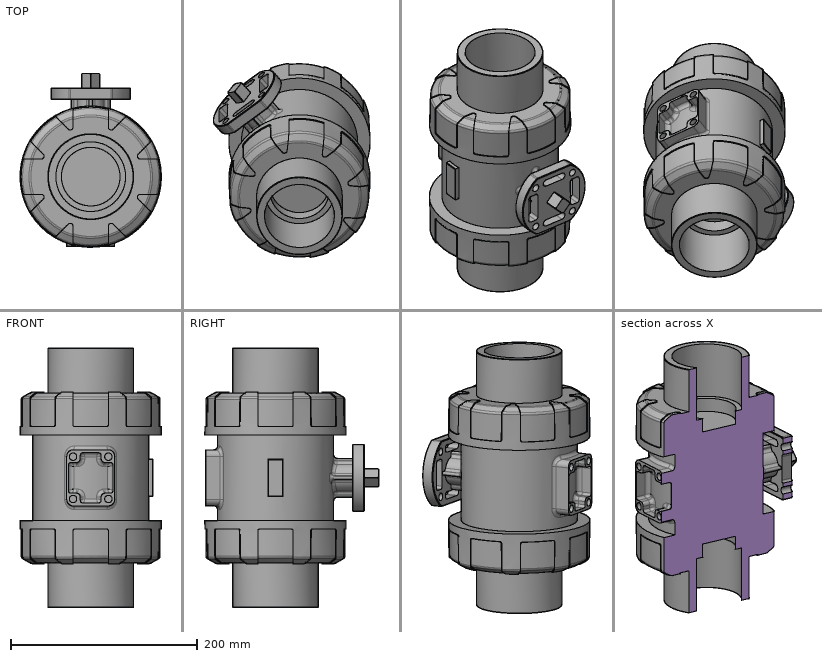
import cadquery as cq
import math

MARGIN = 1

BODY_RADIUS = 125 / 2
PIPE_RADIUS = 92.2 / 2
OVERALL_HEIGHT = 279
PIPE_END_Z = OVERALL_HEIGHT / 2
PIPE_CHAMFER = 0.6
SOCKET_RADIUS = 75 / 2
SOCKET_DEPTH = 60
PORT_RADIUS = 63 / 2
PORT_DEPTH = 15

NUT_RADIUS = 152 / 2
NUT_BOTTOM_Z = 46
NUT_TOP_Z = 92.3
NUT_TAPER = 0.4
NUT_CHAMFER_WIDTH = 9.3
NUT_CHAMFER_HEIGHT = 5.5
NUT_SHOULDER_BLEND = 3
NUT_TOP_BLEND = 4
PANEL_COUNT = 8
PANEL_WIDTH = 38
PANEL_BOTTOM_Z = 55
PANEL_RADIUS = NUT_RADIUS - 1.3
PANEL_TOP_DROP = 0.9
PANEL_CORNER = 2
RIB_TIP_RADIUS = 3

PAD_WIDTH = 51.5
PAD_HEIGHT = 60.3
PAD_FACE_Y = -75
PAD_CORNER = 7
PAD_ROOT_FILLET = 4
POCKET_WIDTH = 48
POCKET_HEIGHT = 54
POST_GAP_X = 22.5
POST_GAP_Z = 33
POST_ROUND = 4
POCKET_CORNER = 3
POCKET_FLOOR_FILLET = 4.5
PAD_HOLE_DIAMETER = 8
PAD_HOLE_DEPTH = 12
PAD_HOLE_SPACING_X = 38
PAD_HOLE_SPACING_Z = 45.4

NECK_DIAMETER = 30
NECK_RIB_SPAN = 42
NECK_RIB_WIDTH = 4
NECK_RIB_FILLET = 4
NECK_ROOT_FILLET = 4
FLANGE_DIAMETER = 85
FLANGE_HEIGHT = 72
FLANGE_CORNER = 3
FLANGE_BACK_Y = 82.7
FLANGE_FRONT_Y = 95.5
FLANGE_EDGE_CHAMFER = 0.8
BOLT_CIRCLE = 70
BOLT_HOLE_DIAMETER = 8
SIDE_WINDOW_WIDTH = 12
SIDE_WINDOW_HEIGHT = 33
SIDE_WINDOW_X = 28
SIDE_WINDOW_CORNER = 3
SLOT_WIDTH = 8
SLOT_LENGTH = 29
SLOT_Z = 25.7
STEM_SIDE = 14.4
STEM_DIAGONAL = 19.6
OVERALL_DEPTH = 187
STEM_END_Y = OVERALL_DEPTH - NUT_RADIUS
STEM_CHAMFER = 1

PLATE_FACE_X = 67
PLATE_HEIGHT = 40
PLATE_WIDTH = 16
PLATE_CHAMFER = 0.6


def plane_y(y):
    """Sketch plane at position y, with local x along X and local y along Z; extrudes toward -Y."""
    return cq.Workplane("XZ", origin=(0, y, 0))


def edge_at_height(z):
    """Selector for the nut edges that lie at height z."""
    reach = NUT_RADIUS + MARGIN
    return cq.selectors.BoxSelector((-reach, -reach, z - MARGIN), (reach, reach, z + MARGIN), boundingbox=True)


def revolved_nut(bottom_radius, top_radius, top_z):
    """Solid nut envelope: tapered side, blended shoulder and flat top."""
    shoulder_z = top_z - NUT_CHAMFER_HEIGHT
    nut = (
        cq.Workplane("XZ")
        .moveTo(0, NUT_BOTTOM_Z)
        .lineTo(bottom_radius, NUT_BOTTOM_Z)
        .lineTo(top_radius, shoulder_z)
        .lineTo(top_radius - NUT_CHAMFER_WIDTH, top_z)
        .lineTo(0, top_z)
        .close()
        .revolve(360, (0, 0, 0), (0, 1, 0))
    )
    nut = nut.edges(edge_at_height(shoulder_z)).fillet(NUT_SHOULDER_BLEND)
    return nut.edges(edge_at_height(top_z)).fillet(NUT_TOP_BLEND)


def make_panel_cutter():
    """Star of crossing bars that clears the panels and leaves wedge-shaped ribs."""
    height = NUT_TOP_Z - PANEL_BOTTOM_Z + MARGIN
    bar = (
        cq.Workplane("XY", origin=(0, 0, PANEL_BOTTOM_Z))
        .box(3 * NUT_RADIUS, PANEL_WIDTH, height, centered=(True, True, False))
        .edges("|X and <Z")
        .fillet(PANEL_CORNER)
    )
    pitch = 360 / PANEL_COUNT
    star = bar
    for i in range(1, PANEL_COUNT // 2):
        star = star.union(bar.rotate((0, 0, 0), (0, 0, 1), i * pitch))
    tip_distance = PANEL_WIDTH / 2 / math.sin(math.radians(pitch / 2))
    reach = tip_distance + MARGIN
    tips = cq.selectors.BoxSelector((-reach, -reach, 0), (reach, reach, NUT_TOP_Z + 2 * MARGIN), boundingbox=True)
    return star.edges("|Z").edges(tips).fillet(RIB_TIP_RADIUS)


def make_nut():
    ribs = revolved_nut(NUT_RADIUS, NUT_RADIUS - NUT_TAPER, NUT_TOP_Z).cut(make_panel_cutter())
    core = revolved_nut(PANEL_RADIUS, PANEL_RADIUS, NUT_TOP_Z - PANEL_TOP_DROP)
    return ribs.union(core)


def make_pipe_end():
    return (
        cq.Workplane("XY")
        .circle(PIPE_RADIUS)
        .extrude(PIPE_END_Z)
        .faces(">Z")
        .chamfer(PIPE_CHAMFER)
    )


def make_bore():
    """Stepped socket and port of the upper pipe end, closed at the bottom."""
    socket = cq.Workplane("XY", origin=(0, 0, PIPE_END_Z)).circle(SOCKET_RADIUS).extrude(-SOCKET_DEPTH)
    port = cq.Workplane("XY", origin=(0, 0, PIPE_END_Z)).circle(PORT_RADIUS).extrude(-SOCKET_DEPTH - PORT_DEPTH)
    return socket.union(port)


def make_body():
    return cq.Workplane("XY").circle(BODY_RADIUS).extrude(NUT_BOTTOM_Z, both=True)


def root_edges(part, x_half, z_half, y_min, y_max):
    """Edges, near the body surface, of the foot of a boss or the floor of a pocket."""
    box = cq.selectors.BoxSelector((-x_half, y_min, -z_half), (x_half, y_max, z_half), boundingbox=True)
    return part.edges(box)


def add_pad(body):
    pad = plane_y(0).rect(PAD_WIDTH, PAD_HEIGHT).extrude(-PAD_FACE_Y).edges("|Y").fillet(PAD_CORNER)
    part = body.union(pad)
    half_width = PAD_WIDTH / 2 + MARGIN
    half_height = PAD_HEIGHT / 2 + MARGIN
    part = root_edges(part, half_width, half_height, -BODY_RADIUS - MARGIN, -BODY_RADIUS / 2).fillet(PAD_ROOT_FILLET)

    wide = plane_y(0).rect(POCKET_WIDTH, POST_GAP_Z).extrude(-PAD_FACE_Y).edges("|Y").fillet(POCKET_CORNER)
    tall = plane_y(0).rect(POST_GAP_X, POCKET_HEIGHT).extrude(-PAD_FACE_Y).edges("|Y").fillet(POCKET_CORNER)
    post_corners = cq.selectors.BoxSelector(
        (-POST_GAP_X / 2 - MARGIN, PAD_FACE_Y - MARGIN, -POST_GAP_Z / 2 - MARGIN),
        (POST_GAP_X / 2 + MARGIN, MARGIN, POST_GAP_Z / 2 + MARGIN),
        boundingbox=True,
    )
    pocket = wide.union(tall).edges("|Y").edges(post_corners).fillet(POST_ROUND).cut(make_body())
    pocket = root_edges(pocket, POCKET_WIDTH, POCKET_HEIGHT, -BODY_RADIUS - MARGIN, -BODY_RADIUS / 2)
    pocket = pocket.fillet(POCKET_FLOOR_FILLET)

    holes = (
        plane_y(PAD_FACE_Y + PAD_HOLE_DEPTH)
        .rarray(PAD_HOLE_SPACING_X, PAD_HOLE_SPACING_Z, 2, 2)
        .circle(PAD_HOLE_DIAMETER / 2)
        .extrude(PAD_HOLE_DEPTH)
    )
    return part.cut(pocket).cut(holes)


def add_neck(body):
    neck = plane_y(FLANGE_BACK_Y).circle(NECK_DIAMETER / 2).extrude(FLANGE_BACK_Y)
    for angle in (0, 90):
        neck = neck.union(plane_y(FLANGE_BACK_Y).slot2D(NECK_RIB_SPAN, NECK_RIB_WIDTH, angle).extrude(FLANGE_BACK_Y))
    inner = NECK_DIAMETER / 2
    rib_roots = cq.selectors.BoxSelector((-inner, -MARGIN, -inner), (inner, FLANGE_BACK_Y + MARGIN, inner), boundingbox=True)
    neck = neck.edges("|Y").edges(rib_roots).fillet(NECK_RIB_FILLET)
    part = body.union(neck)
    half_span = NECK_RIB_SPAN / 2 + MARGIN
    return root_edges(part, half_span, half_span, BODY_RADIUS / 2, BODY_RADIUS + MARGIN).fillet(NECK_ROOT_FILLET)


def make_flange():
    thickness = FLANGE_FRONT_Y - FLANGE_BACK_Y
    flange = (
        plane_y(FLANGE_FRONT_Y)
        .circle(FLANGE_DIAMETER / 2)
        .extrude(thickness)
        .intersect(plane_y(FLANGE_FRONT_Y).rect(FLANGE_DIAMETER + MARGIN, FLANGE_HEIGHT).extrude(thickness))
        .edges("|Y and (>Z or <Z)")
        .fillet(FLANGE_CORNER)
        .faces("<Y or >Y")
        .chamfer(FLANGE_EDGE_CHAMFER)
    )
    bolt_spacing = BOLT_CIRCLE / math.sqrt(2)
    bolts = (
        plane_y(FLANGE_FRONT_Y)
        .rarray(bolt_spacing, bolt_spacing, 2, 2)
        .circle(BOLT_HOLE_DIAMETER / 2)
        .extrude(thickness)
    )
    windows = (
        plane_y(FLANGE_FRONT_Y)
        .pushPoints([(-SIDE_WINDOW_X, 0), (SIDE_WINDOW_X, 0)])
        .rect(SIDE_WINDOW_WIDTH, SIDE_WINDOW_HEIGHT)
        .extrude(thickness)
        .edges("|Y")
        .fillet(SIDE_WINDOW_CORNER)
    )
    slots = (
        plane_y(FLANGE_FRONT_Y)
        .pushPoints([(0, -SLOT_Z), (0, SLOT_Z)])
        .slot2D(SLOT_LENGTH, SLOT_WIDTH)
        .extrude(thickness)
    )
    return flange.cut(bolts).cut(windows).cut(slots)


def make_stem():
    """Square drive turned on its corner, with the corners trimmed round."""
    length = STEM_END_Y - FLANGE_BACK_Y
    square = plane_y(STEM_END_Y).transformed(rotate=(0, 0, 45)).rect(STEM_SIDE, STEM_SIDE).extrude(length)
    round_bar = plane_y(STEM_END_Y).circle(STEM_DIAGONAL / 2).extrude(length).faces(">Y").chamfer(STEM_CHAMFER)
    return square.intersect(round_bar)


def make_plate():
    return (
        cq.Workplane("YZ")
        .rect(PLATE_WIDTH, PLATE_HEIGHT)
        .extrude(PLATE_FACE_X)
        .faces(">X")
        .chamfer(PLATE_CHAMFER)
    )


result = add_neck(add_pad(make_body()))
for feature in (make_flange(), make_stem(), make_plate()):
    result = result.union(feature)
upper_end = make_nut().union(make_pipe_end().cut(make_body())).cut(make_bore())
result = result.union(upper_end).union(upper_end.mirror("XY"))